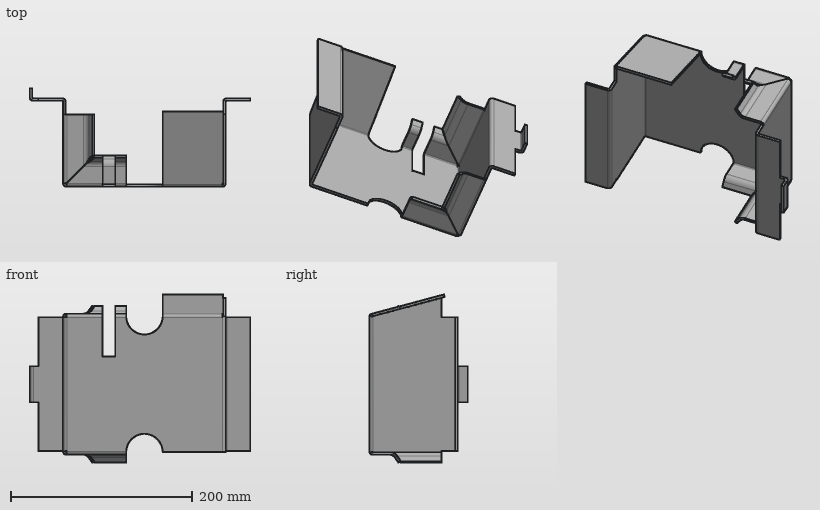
import cadquery as cq
import math

thickness = 3.0
bend_inner_radius = 1.0
bend_outer_radius = bend_inner_radius + thickness

box_half_width = 90.0
depth = 98.0
wing_span = 27.1
wing_half_height = 74.0
plate_half_height = 75.0
wing_end = box_half_width + wing_span
wing_front = depth - thickness
side_bend_x = box_half_width - bend_outer_radius

tab_reach = 9.8
tab_rise = 11.07
tab_half_height = 20.0

flange_depth = 80.0
flange_flat = 18.6
lip_angle = 55.0
lip_bend_radius = 7.0
lip_length = 6.86
mitre_half_gap = 0.15

roof_slope = 15.0
roof_length = 82.6
roof_end = box_half_width - thickness

notch_radius = 20.0
slot_left = -46.25
slot_width = 14.0
slot_floor = 30.6


def straight(length):
    return (length, 0.0, 0.0)


def bend(inner_radius, angle):
    return (0.0, inner_radius, angle)


def sheet_outline(plane, start, heading, steps):
    """Closed section of a bent strip; the path is one face, the sheet lies on its left.

    A positive bend angle turns left, so the path is then the outside of the bend.
    """

    def left_offset(point, direction, distance):
        angle = math.radians(direction)
        return (point[0] - distance * math.sin(angle), point[1] + distance * math.cos(angle))

    def forward(point, direction, distance):
        return left_offset(point, direction - 90.0, distance)

    path = [start]
    offset = [left_offset(start, heading, thickness)]
    middles = []
    for length, inner_radius, angle in steps:
        if length:
            path.append(forward(path[-1], heading, length))
            offset.append(left_offset(path[-1], heading, thickness))
            middles.append(None)
            continue
        turn_radius = inner_radius + thickness if angle > 0 else -inner_radius
        center = left_offset(path[-1], heading, turn_radius)
        middle_heading = heading + angle / 2
        heading += angle
        path_middle = left_offset(center, middle_heading, -turn_radius)
        middles.append((path_middle, left_offset(path_middle, middle_heading, thickness)))
        path.append(left_offset(center, heading, -turn_radius))
        offset.append(left_offset(path[-1], heading, thickness))

    outline = cq.Workplane(plane).moveTo(*path[0])
    for end, middle in zip(path[1:], middles):
        outline = outline.threePointArc(middle[0], end) if middle else outline.lineTo(*end)
    outline = outline.lineTo(*offset[-1])
    for end, middle in zip(offset[-2::-1], middles[::-1]):
        outline = outline.threePointArc(middle[1], end) if middle else outline.lineTo(*end)
    return outline.close()


def block(x_range, y_range, z_range):
    sizes = [high - low for low, high in (x_range, y_range, z_range)]
    corner = (x_range[0], y_range[0], z_range[0])
    return cq.Workplane("XY").box(*sizes, centered=False).translate(corner)


def hat(bottom, top):
    """Wing, wall, front plate, wall, wing as one bent strip between two heights."""
    wing = straight(wing_span - bend_inner_radius)
    wall = straight(wing_front - bend_inner_radius - bend_outer_radius)
    outward = bend(bend_inner_radius, -90.0)
    inward = bend(bend_inner_radius, 90.0)
    plate = straight(2 * side_bend_x)
    steps = [wing, outward, wall, inward, plate, inward, wall, outward, wing]
    plane = cq.Plane(origin=(0, 0, bottom), xDir=(1, 0, 0), normal=(0, 0, 1))
    return sheet_outline(plane, (-wing_end, wing_front), 0.0, steps).extrude(top - bottom)


def wing_tab():
    steps = [
        straight(tab_rise + thickness - bend_outer_radius),
        bend(bend_inner_radius, 90.0),
        straight(tab_reach - bend_outer_radius),
    ]
    start = (-wing_end - tab_reach, depth + tab_rise)
    return sheet_outline("XY", start, -90.0, steps).extrude(tab_half_height, both=True)


def section_facing_left(x):
    """Plane across X with its horizontal axis towards -Y, normal towards -X."""
    return cq.Plane(origin=(x, 0, 0), xDir=(0, -1, 0), normal=(-1, 0, 0))


def right_side_extension():
    """Extra sheet height: a lower rim, and the right wall raised to follow the roof."""
    run = flange_depth - bend_outer_radius
    top_back = plate_half_height + run * math.tan(math.radians(roof_slope))
    full = hat(-plate_half_height, top_back)
    rim = block((notch_radius, box_half_width), (0, flange_depth), (-plate_half_height, 0))
    raised = (
        cq.Workplane("YZ", origin=(side_bend_x, 0, 0))
        .polyline([
            (0, 0),
            (flange_depth, 0),
            (flange_depth, top_back),
            (bend_outer_radius, plate_half_height),
            (0, plate_half_height),
        ])
        .close()
        .extrude(bend_outer_radius)
    )
    return full.intersect(rim.union(raised))


def roof():
    start = (0, wing_half_height)
    edge_bend = bend(bend_inner_radius, 90.0 - roof_slope)
    sheet = sheet_outline(section_facing_left(roof_end), start, 90.0, [edge_bend, straight(roof_length)])
    relief = sheet_outline(section_facing_left(roof_end), start, 90.0, [edge_bend])
    return sheet.extrude(roof_end - notch_radius).cut(relief.extrude(roof_end - side_bend_x))


def lip_end_cut():
    """Cutter that ends the front lip square to its sheet, from the mitre line on its outer face."""
    angle = math.radians(lip_angle)
    outer_radius = lip_bend_radius + thickness
    bend_end_y = bend_outer_radius + flange_flat + outer_radius * math.sin(angle)
    flange_underside = wing_half_height + bend_inner_radius
    bend_end_z = flange_underside + outer_radius * (1 - math.cos(angle))
    lip_plane = cq.Plane(
        origin=(bend_end_y - box_half_width, bend_end_y, bend_end_z),
        xDir=(1, 0, 0),
        normal=(0, -math.sin(angle), math.cos(angle)),
    )
    beyond_tip = 2 * lip_length
    outer_bend_run = outer_radius * math.sin(angle)
    inner_bend_run = lip_bend_radius * math.sin(angle)
    return (
        cq.Workplane(lip_plane)
        .polyline([
            (0, 0),
            (beyond_tip * math.cos(angle), beyond_tip),
            (-outer_bend_run, beyond_tip),
            (-outer_bend_run, -inner_bend_run),
        ])
        .close()
        .extrude(2 * thickness, both=True)
    )


def front_flange(reach):
    """Upper flange along the front plate, from the corner mitre to a distance from the left wall."""
    steps = [
        bend(bend_inner_radius, 90.0),
        straight(flange_flat),
        bend(lip_bend_radius, -lip_angle),
        straight(lip_length),
    ]
    section = sheet_outline(
        section_facing_left(reach - box_half_width), (0, wing_half_height), 90.0, steps
    )
    shift = mitre_half_gap * math.sqrt(2)
    behind_mitre = (
        cq.Workplane("XY", origin=(-box_half_width, 0, 0))
        .polyline([(shift, 0), (flange_depth + shift, flange_depth), (shift, flange_depth)])
        .close()
        .extrude(2 * plate_half_height)
    )
    return section.extrude(reach - bend_outer_radius).cut(behind_mitre).cut(lip_end_cut())


def upper_flanges():
    """Front and left flange; the left one mirrors the front one across the corner mitre."""
    front = front_flange(box_half_width - notch_radius)
    left = front_flange(flange_depth).mirror(
        cq.Vector(1, -1, 0), basePointVector=(-box_half_width, 0, 0)
    )
    return front, left


def plate_notches():
    """Half-round notches in the top and bottom edges of the front plate."""
    return (
        cq.Workplane("XZ")
        .pushPoints([(0, plate_half_height), (0, -plate_half_height)])
        .circle(notch_radius)
        .extrude(-thickness)
    )


def plate_slot():
    """Slot from the front plate up through the front flange and its lip."""
    return block(
        (slot_left, slot_left + slot_width),
        (0, flange_depth),
        (slot_floor, 2 * plate_half_height),
    )


result = hat(-wing_half_height, wing_half_height).union(wing_tab()).union(right_side_extension())
result = result.cut(plate_notches()).union(roof())
for flange in upper_flanges():
    result = result.union(flange).union(flange.mirror("XY"))
result = result.cut(plate_slot())